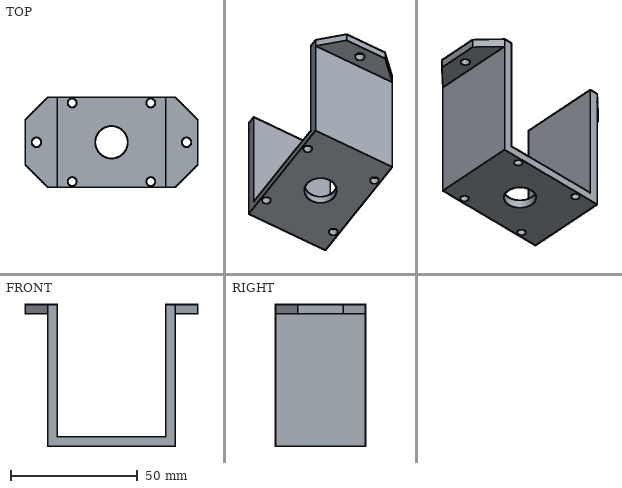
import cadquery as cq

overall_length = 68.07
depth = 35.56
height = 56.01
thickness = 3.81
tab_reach = 8.89
shaft_hole_diameter = 12.7
motor_hole_diameter = 3.43
motor_hole_spacing = 31.0
tab_hole_diameter = 3.68

body_length = overall_length - 2 * tab_reach
channel_length = body_length - 2 * thickness
tab_hole_spacing = body_length + tab_reach


def make_channel():
    """U-shaped body: a floor with two upright walls, open at the top."""
    body = cq.Workplane("XY").box(body_length, depth, height, centered=(True, True, False))
    opening = (
        cq.Workplane("XY")
        .workplane(offset=thickness)
        .box(channel_length, depth, height, centered=(True, True, False))
    )
    return body.cut(opening)


def make_tab(side):
    """Outward tab flush with the wall top, outer corners cut at 45 degrees; side is -1 or +1."""
    wall_x = side * body_length / 2
    inner_x = side * channel_length / 2
    outer_x = side * overall_length / 2
    half_depth = depth / 2
    half_edge = half_depth - tab_reach
    outline = [
        (inner_x, -half_depth),
        (wall_x, -half_depth),
        (outer_x, -half_edge),
        (outer_x, half_edge),
        (wall_x, half_depth),
        (inner_x, half_depth),
    ]
    return (
        cq.Workplane("XY")
        .workplane(offset=height - thickness)
        .polyline(outline)
        .close()
        .extrude(thickness)
    )


def make_drills(points, diameter):
    """Vertical cylinders spanning the full height at the given XY points."""
    return cq.Workplane("XY").pushPoints(points).circle(diameter / 2).extrude(height)


motor_hole_offset = motor_hole_spacing / 2
motor_hole_points = [
    (x_side * motor_hole_offset, y_side * motor_hole_offset)
    for x_side in (-1, 1)
    for y_side in (-1, 1)
]
tab_hole_points = [(side * tab_hole_spacing / 2, 0) for side in (-1, 1)]

bracket = make_channel()
for side in (-1, 1):
    bracket = bracket.union(make_tab(side))

bracket = bracket.cut(make_drills([(0, 0)], shaft_hole_diameter))
bracket = bracket.cut(make_drills(motor_hole_points, motor_hole_diameter))
bracket = bracket.cut(make_drills(tab_hole_points, tab_hole_diameter))

result = bracket